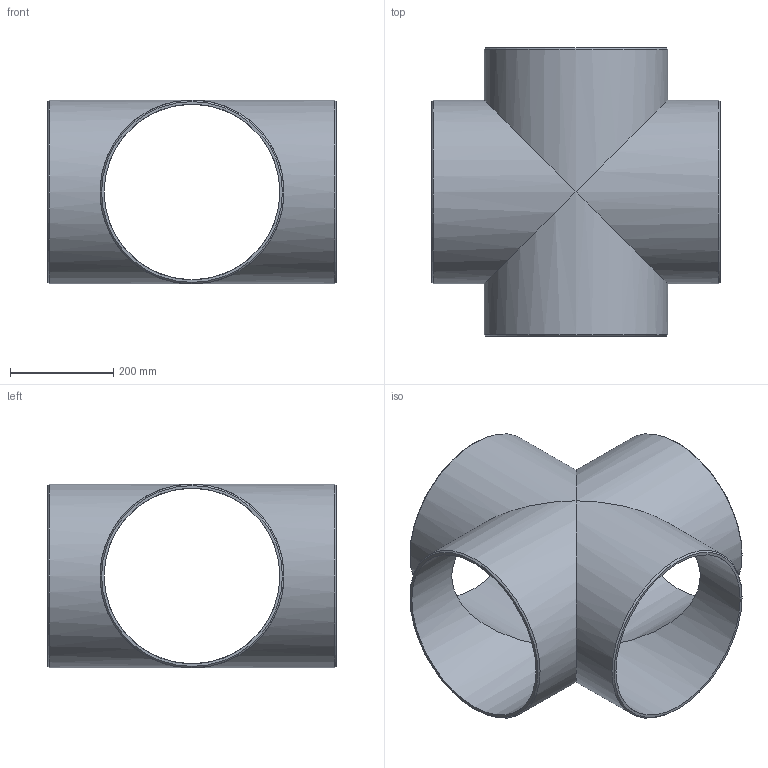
import cadquery as cq

run_length = 558.0
outer_diameter = 355.6
wall = 8.0
bevel = 3.0

outer_radius = outer_diameter / 2
bore_radius = outer_radius - wall
half_length = run_length / 2


def bar_along_x(radius):
    """Round bar on the X axis, centred on the origin."""
    return cq.Workplane("YZ").circle(radius).extrude(half_length, both=True)


def crossed(bar):
    """Join a bar on X with its copy turned onto Y."""
    return bar.union(bar.rotate((0, 0, 0), (0, 0, 1), 90))


beveled_bar = bar_along_x(outer_radius).faces("<X or >X").edges().chamfer(bevel)
outer_cross = crossed(beveled_bar)
bore_cross = crossed(bar_along_x(bore_radius))

result = outer_cross.cut(bore_cross)